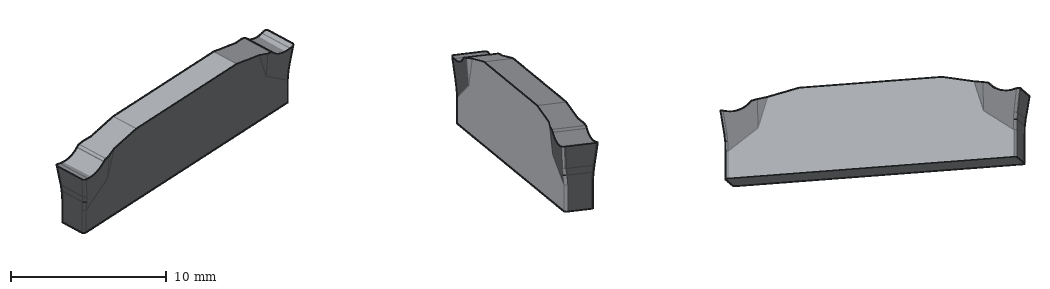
import cadquery as cq
import math

length = 20.1
height = 5.69
body_width = 2.0
half_length = length / 2
half_body = body_width / 2

crown_half_length = 4.78
shoulder_angle = math.radians(12)
groove_radius = 1.7
groove_bottom_y = half_length - 0.78
groove_bottom_z = 4.4
groove_inner_y = half_length - 1.99
land_length = 0.42
lip_end_y = half_length - 2.2
tip_z = 4.52

shank_end_y = half_length - 0.26
relief_start_z = 2.5
relief_end_z = 2.97
relief_angle = math.radians(8)

flare_corner_y = half_length - 2.5
flare_corner_z = 3.24
flare_foot_slope = 0.7
flare_rise = 0.085
ramp_run = 0.65
end_fillet = 0.2
overshoot = 0.4


def groove_z(y):
    """Height of the chip groove arc at a given Y."""
    drop = math.sqrt(groove_radius**2 - (y - groove_bottom_y) ** 2)
    return groove_bottom_z + groove_radius - drop


def shoulder_z(y):
    """Height of the sloping shoulder at a given Y."""
    return height - (y - crown_half_length) * math.tan(shoulder_angle)


def half_outline():
    """Side outline of the +Y half, extruded wider than the part."""
    land_y = half_length - land_length
    relief_end_y = half_length - (tip_z - relief_end_z) * math.tan(relief_angle)
    return (
        cq.Workplane("YZ")
        .moveTo(0, 0)
        .lineTo(0, height)
        .lineTo(crown_half_length, height)
        .lineTo(lip_end_y, shoulder_z(lip_end_y))
        .tangentArcPoint((groove_inner_y, groove_z(groove_inner_y)), relative=False)
        .threePointArc((groove_bottom_y, groove_bottom_z), (land_y, groove_z(land_y)))
        .lineTo(half_length, tip_z)
        .lineTo(relief_end_y, relief_end_z)
        .tangentArcPoint((shank_end_y, relief_start_z), relative=False)
        .lineTo(shank_end_y, 0)
        .close()
        .extrude(body_width, both=True)
    )


def flare():
    """Wedge that widens the +X side of the +Y head."""
    end_y = half_length + overshoot
    top_z = height + overshoot
    foot_z = flare_corner_z - (end_y - flare_corner_y) * flare_foot_slope
    ramp_top_y = flare_corner_y - ramp_run * (top_z - flare_corner_z) / (
        shoulder_z(flare_corner_y - ramp_run) - flare_corner_z
    )
    corner = (half_body, flare_corner_y, flare_corner_z)
    foot = (half_body, end_y, foot_z)
    inner_end = (half_body, end_y, top_z)
    ramp_start = (half_body, ramp_top_y, top_z)
    ridge = (half_body + flare_rise * (top_z - flare_corner_z), flare_corner_y, top_z)
    outer_end = (half_body + flare_rise * (top_z - foot_z), end_y, top_z)
    loops = [
        (corner, foot, inner_end, ramp_start),
        (corner, ridge, outer_end, foot),
        (corner, ramp_start, ridge),
        (inner_end, outer_end, ridge, ramp_start),
        (foot, outer_end, inner_end),
    ]
    faces = [
        cq.Face.makeFromWires(cq.Wire.makePolygon([cq.Vector(*p) for p in loop], close=True))
        for loop in loops
    ]
    return cq.Workplane(cq.Solid.makeSolid(cq.Shell.makeShell(faces)))


def half_insert():
    """The +Y half, flared on both sides with rounded end corners."""
    slab = cq.Workplane().box(body_width, 3 * length, 3 * height)
    side = flare()
    half = half_outline().intersect(slab.union(side).union(side.mirror("YZ")))
    for x_side in (-1, 1):
        corner_zone = cq.selectors.BoxSelector(
            (x_side * (half_body - end_fillet), shank_end_y - end_fillet / 2, end_fillet),
            (x_side * body_width, length, tip_z - end_fillet),
        )
        half = half.edges(corner_zone).fillet(end_fillet)
    return half


half = half_insert()
result = half.union(half.mirror("XZ")).clean()